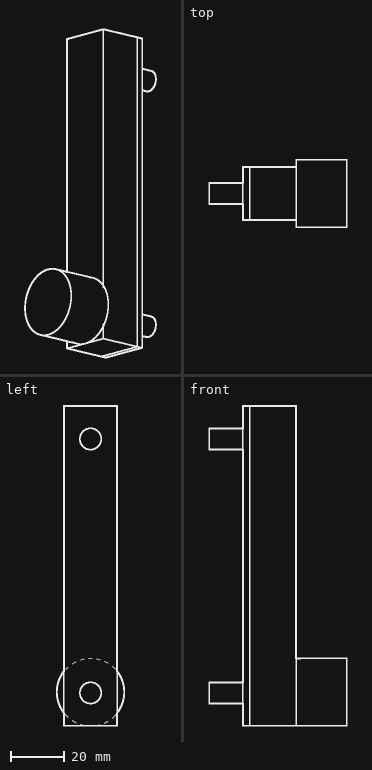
import cadquery as cq

bar_length = 120.0
bar_width = 20.0
bar_depth = 20.0
plate_thickness = 2.5

knob_diameter = 25.4
knob_length = 19.05
knob_z = knob_diameter / 2

pin_diameter = 8.0
pin_length = 12.7
pin_spacing = 95.25
lower_pin_z = (bar_length - pin_spacing) / 2
pin_heights = [lower_pin_z, lower_pin_z + pin_spacing]


def block(x_start, x_end):
    """Slice of the bar between two X positions, standing on Z = 0."""
    return cq.Workplane("XY").box(
        x_end - x_start, bar_width, bar_length, centered=(False, True, False)
    ).translate((x_start, 0, 0))


def cylinder_along_x(diameter, length, x_start, z):
    """Cylinder that runs from x_start toward +X at height z."""
    return cq.Workplane("YZ", origin=(x_start, 0, z)).circle(diameter / 2).extrude(length)


def make_plate():
    """Mounting plate with its two pins."""
    plate = block(0, plate_thickness)
    for height in pin_heights:
        plate = plate.union(cylinder_along_x(pin_diameter, pin_length, -pin_length, height))
    return plate


def make_housing():
    """Housing with the knob on its back face."""
    knob = cylinder_along_x(knob_diameter, knob_length, bar_depth, knob_z)
    return block(plate_thickness, bar_depth).union(knob)


plate = make_plate()
housing = make_housing()

result = cq.Compound.makeCompound([plate.val(), housing.val()])